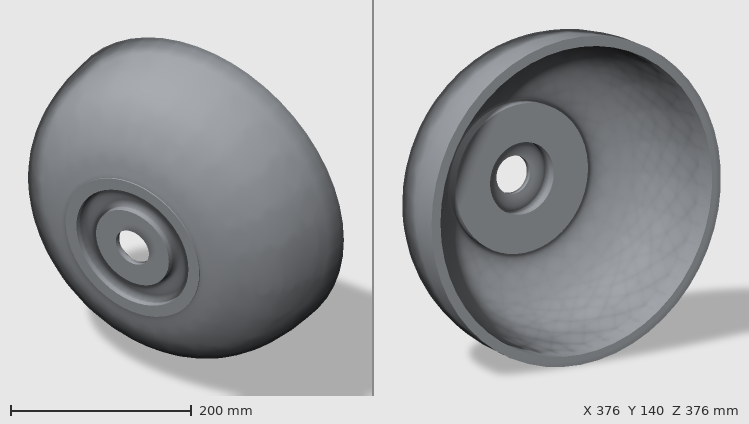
import cadquery as cq

rim_radius = 188
total_depth = 140.0
wall = 11.5
boss_wall = 6.8

face_radius = 88.5
face_lip = 1.5

groove_radius = 74.0
boss_radius = 48.0
groove_depth = 13.5
groove_fillet = 5.5
hole_radius = 21.8
pocket_radius = boss_radius - boss_wall

crown_depth = total_depth - face_lip

dome_stations = [(184.2, -50.0), (167.5, -95.0), (150.0, -113.0), (119.0, -131.2), (face_radius, -crown_depth)]

dome_tangents = [(0, -1), (-1, -0.2)]

inner_stations = [(172.5, -48.0), (157.0, -88.7), (141.8, -105.0), (114.0, -120.5), (face_radius, wall - total_depth)]


def revolve_about_y(profile):
    return profile.close().revolve(360, (0, 0, 0), (0, 1, 0))


def solid_dome():
    """Rounded dome topped by the thin raised mounting face."""
    profile = (
        cq.Workplane("XY")
        .lineTo(rim_radius, 0)
        .spline(dome_stations, tangents=dome_tangents, includeCurrent=True)
        .lineTo(face_radius, -total_depth)
        .lineTo(0, -total_depth)
    )
    return revolve_about_y(profile)


def ring(outer_radius, inner_radius, depth):
    """Annular block reaching inward from the front plane to the given depth."""
    floor = depth - total_depth
    return revolve_about_y(
        cq.Workplane("XY")
        .moveTo(inner_radius, -total_depth)
        .lineTo(outer_radius, -total_depth)
        .lineTo(outer_radius, floor)
        .lineTo(inner_radius, floor)
    )


def ring_groove():
    """Groove cutter with both floor corners rounded."""
    return ring(groove_radius, boss_radius, groove_depth).faces(">Y").edges().fillet(groove_fillet)


def cavity():
    """Hollow interior, leaving a thick ring behind the groove and a thin face behind the boss."""
    crown_inside = wall - total_depth
    dome_space = revolve_about_y(
        cq.Workplane("XY")
        .lineTo(rim_radius - wall, 0)
        .spline(inner_stations, tangents=dome_tangents, includeCurrent=True)
        .lineTo(0, crown_inside)
    )
    groove_backing = ring(groove_radius + wall, pocket_radius, groove_depth + wall)
    boss_pocket = (
        cq.Workplane("XZ", origin=(0, boss_wall - total_depth, 0))
        .circle(pocket_radius)
        .extrude(-groove_depth - wall)
    )
    return dome_space.cut(groove_backing).union(boss_pocket)


def center_hole():
    return cq.Workplane("XZ").circle(hole_radius).extrude(total_depth)


result = solid_dome().cut(ring_groove()).cut(cavity()).cut(center_hole())